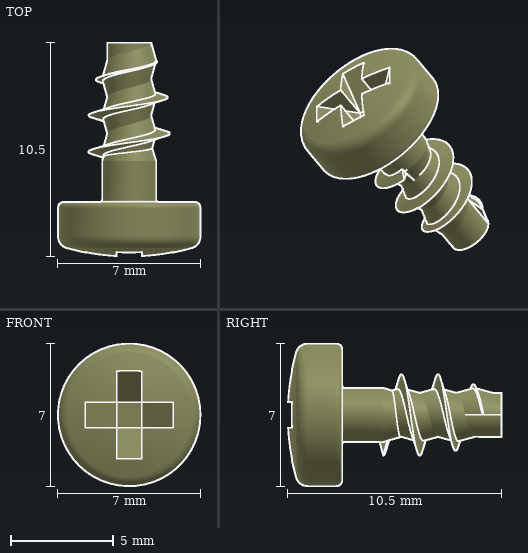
import cadquery as cq
import math


head_radius = 3.5
head_height = 2.7
dome_radius = 11.3
rim_radius = 0.6
bearing_edge_radius = 0.3

recess_half_width = 0.62
recess_depth = 1.75

shank_radius = 1.33
neck_fillet = 0.1
plain_length = 2.0
neck_cone_length = 0.8
screw_length = 7.8

pitch = 1.79
core_radius = 1.085
crest_radius = 2.0
flank_angle = 15.0
thread_turns = 2.75
full_turns = 1.565
runout_turns = thread_turns - full_turns
runout_pitch = 1.83
runout_end_radius = 1.34
start_angle = 90.0
root_overlap = 0.1
valley_gap = 0.01

mid_arc_offset = 1 - math.sqrt(0.5)


def make_head():
    """Domed disc with a rounded rim, tangent to both the side and the dome."""
    dome_center = dome_radius - head_height
    rim_center_x = head_radius - rim_radius
    rim_center_z = dome_center - math.sqrt((dome_radius - rim_radius) ** 2 - rim_center_x ** 2)
    rim_tilt = math.asin(rim_center_x / (dome_radius - rim_radius))
    mid_tilt = (rim_tilt + math.pi / 2) / 2

    def rim_point(tilt):
        return (rim_center_x + rim_radius * math.sin(tilt), rim_center_z - rim_radius * math.cos(tilt))

    dome_mid_tilt = rim_tilt / 2
    dome_mid = (dome_radius * math.sin(dome_mid_tilt), dome_center - dome_radius * math.cos(dome_mid_tilt))
    edge_mid = bearing_edge_radius * mid_arc_offset
    profile = (
        cq.Workplane("XZ")
        .lineTo(head_radius - bearing_edge_radius, 0)
        .threePointArc((head_radius - edge_mid, -edge_mid), (head_radius, -bearing_edge_radius))
        .lineTo(head_radius, rim_center_z)
        .threePointArc(rim_point(mid_tilt), rim_point(rim_tilt))
        .threePointArc(dome_mid, (0, -head_height))
        .close()
    )
    return profile.revolve(360, (0, 0, 0), (0, 1, 0))


def make_recess():
    """Cross of two slots whose floors slope up at 45 degrees from a flat centre square."""
    floor_z = recess_depth - head_height
    mouth_half_length = recess_half_width + recess_depth
    arm = (
        cq.Workplane("XZ")
        .polyline([
            (-recess_half_width, floor_z),
            (recess_half_width, floor_z),
            (mouth_half_length, -head_height),
            (-mouth_half_length, -head_height),
        ])
        .close()
        .extrude(recess_half_width, both=True)
    )
    return arm.union(arm.rotate((0, 0, 0), (0, 0, 1), 90))


def make_shank():
    """Plain shank with a filleted foot, a short cone and the slim thread core."""
    foot_mid = neck_fillet * mid_arc_offset
    profile = (
        cq.Workplane("XZ")
        .moveTo(0, -bearing_edge_radius)
        .lineTo(shank_radius + neck_fillet, -bearing_edge_radius)
        .lineTo(shank_radius + neck_fillet, 0)
        .threePointArc((shank_radius + foot_mid, foot_mid), (shank_radius, neck_fillet))
        .lineTo(shank_radius, plain_length)
        .lineTo(core_radius, plain_length + neck_cone_length)
        .lineTo(core_radius, screw_length)
        .lineTo(0, screw_length)
        .close()
    )
    return profile.revolve(360, (0, 0, 0), (0, 1, 0))


def helical_bar(section, turns, lead=pitch, taper=None):
    """Solid swept by (radius, height) corners along parallel helices that start on the +X side."""
    rise = turns * lead
    cone = {} if taper is None else {"angle": taper}
    rails = [
        cq.Wire.makeHelix(lead, rise, radius, cq.Vector(0, 0, height), **cone).Edges()[0]
        for radius, height in section
    ]
    neighbours = list(zip(rails, rails[1:] + rails[:1]))
    faces = [cq.Face.makeRuledSurface(rail, following) for rail, following in neighbours]
    for end in (0, 1):
        corners = [rail.positionAt(end) for rail in rails]
        faces.append(cq.Face.makeFromWires(cq.Wire.makePolygon(corners, close=True)))
    bar = cq.Solid.makeSolid(cq.Shell.makeShell(faces))
    return cq.Workplane(obj=bar.fix())


def blade_section(tip_radius, root_radius):
    """Sharp triangular thread section pointing outwards."""
    half_width = (tip_radius - root_radius) * math.tan(math.radians(flank_angle))
    return [(root_radius, -half_width), (tip_radius, 0), (root_radius, half_width)]


def place_on_helix(bar, turns_from_start):
    turned = bar.rotate((0, 0, 0), (0, 0, 1), start_angle + 360 * turns_from_start)
    return turned.translate((0, 0, plain_length + pitch * turns_from_start))


def make_core_ridge():
    """Low V-shaped ridge, one pitch wide, that carries the thread blade."""
    half_width = pitch / 2 - valley_gap
    buried_radius = core_radius - root_overlap
    section = [
        (buried_radius, -half_width),
        (core_radius, -half_width),
        (shank_radius, 0),
        (core_radius, half_width),
        (buried_radius, half_width),
    ]
    return place_on_helix(helical_bar(section, thread_turns), 0)


def make_full_thread():
    section = blade_section(crest_radius, core_radius)
    return place_on_helix(helical_bar(section, full_turns), 0)


def make_runout():
    """Last stretch of the blade, sinking into the ridge; following a cone that narrows upwards."""
    drop = crest_radius - runout_end_radius
    taper_angle = math.degrees(math.atan(drop / (runout_turns * runout_pitch)))
    section = blade_section(crest_radius, core_radius)
    return place_on_helix(helical_bar(section, runout_turns, runout_pitch, -taper_angle), full_turns)


def trim_at_tip(body):
    size = 2 * head_radius
    waste = cq.Workplane("XY").workplane(offset=screw_length).rect(size, size).extrude(pitch)
    return body.cut(waste)


screw = make_shank()
for thread_part in (make_core_ridge(), make_full_thread(), make_runout()):
    screw = screw.union(thread_part)
screw = trim_at_tip(screw).union(make_head()).cut(make_recess())

result = screw.rotate((0, 0, 0), (1, 0, 0), -90)